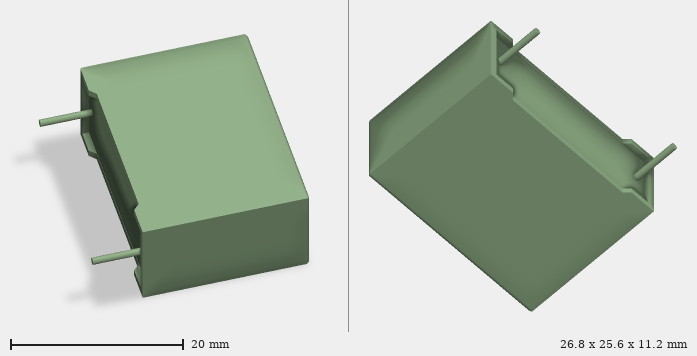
import cadquery as cq

case_width = 26.8
case_height = 11.21
case_depth = 20.13
case_wall = 0.9
back_round = 0.5

foot_width = 3.66
relief_depth = 0.74

fill_setback = 0.8

overall_depth = 25.6
lead_pitch = 22.5
lead_diameter = 0.85
lead_tip_y = case_depth - overall_depth

cavity_width = case_width - 2 * case_wall
cavity_height = case_height - 2 * case_wall
cavity_depth = case_depth - case_wall


def block_along_y(width, height, y_start, y_end):
    """Box centred on X and Z that runs from y_start to y_end."""
    depth = y_end - y_start
    return cq.Workplane("XY").box(width, depth, height).translate((0, y_start + depth / 2, 0))


def make_relief():
    """Trapezoid cutter that leaves a foot at each corner of the front rim."""
    half_mouth = case_width / 2 - foot_width
    half_floor = half_mouth - relief_depth
    outline = [
        (-half_mouth, 0),
        (half_mouth, 0),
        (half_floor, relief_depth),
        (-half_floor, relief_depth),
    ]
    return cq.Workplane("XY").polyline(outline).close().extrude(case_height / 2, both=True)


def make_case():
    """Open box with its back edges rounded and its front rim relieved."""
    body = block_along_y(case_width, case_height, 0, case_depth)
    body = body.faces(">Y").edges().fillet(back_round)
    cavity = block_along_y(cavity_width, cavity_height, 0, cavity_depth)
    return body.cut(cavity).cut(make_relief())


def make_fill():
    """Resin block that fills the cavity behind the setback."""
    return block_along_y(cavity_width, cavity_height, fill_setback, cavity_depth)


def make_lead(x):
    """Straight round wire along Y, from the fill face to its tip in front of the case."""
    wire = cq.Workplane("XZ", origin=(x, fill_setback, 0)).circle(lead_diameter / 2)
    return wire.extrude(fill_setback - lead_tip_y)


case = make_case()
fill = make_fill()
leads = [make_lead(side * lead_pitch / 2) for side in (-1, 1)]

result = cq.Compound.makeCompound([case.val(), fill.val(), *[lead.val() for lead in leads]])